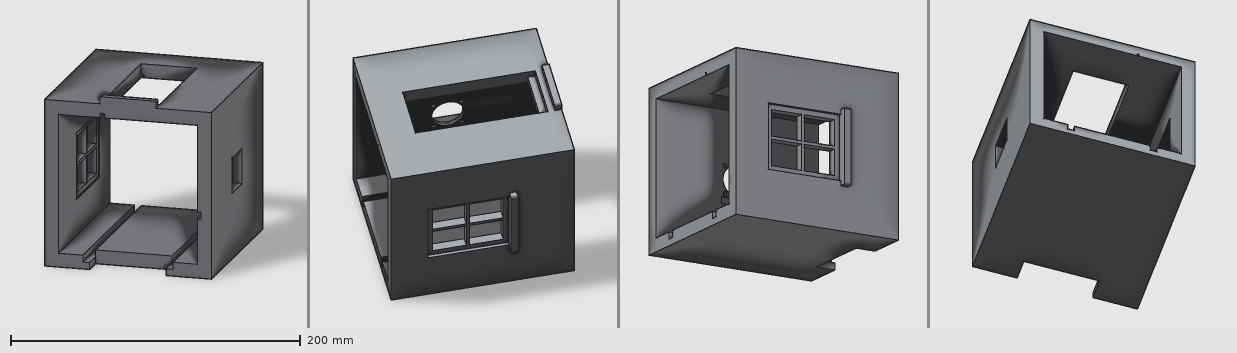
import cadquery as cq

BODY_SIDE = 120.0
BODY_DEPTH = 130.0
WALL = 10.0
HALF_SIDE = BODY_SIDE / 2
HALF_DEPTH = BODY_DEPTH / 2
INNER_HALF = HALF_SIDE - WALL

TRIM = 5.1
TRIM_ROUND = 1.0
ROOF_BAR_LENGTH = 40.3
SIDE_BAR_LENGTH = 55.0
SIDE_BAR_FRONT_OFFSET = 41.0

ROOF_OPENING_FRONT_OFFSET = 9.8
ROOF_OPENING_DEPTH = 94.0
ROOF_LEDGE_THICKNESS = 5.0
WIRE_X = -18.5
WIRE_RISE = 1.5
WIRE_GROOVE_WIDTH = 3.6
WIRE_HOLE_DIAMETER = 1.2

TONGUE_WIDTH = 55.0
TONGUE_SETBACK = 15.1
FLOOR_SLOT = 5.0

RECESS_DEPTH = 2.5
INNER_RECESS_DEPTH = 1.0
RECESS_WIDTH = 58.0
RECESS_HEIGHT = 47.8
PANES_WIDTH = 50.0
PANES_HEIGHT = 40.3
MUNTIN = 2.2

FAN_BORE = 23.0
FAN_POCKET = 25.2
FAN_LIP = 3.5
FAN_SCREW_SPACING = 20.0
FAN_SCREW_DIAMETER = 3.0
GROOVE_DEPTH = 2.5
GROOVE_HEIGHT = 5.6
GROOVE_TOP_DROP = 12.2


def box(x_range, y_range, z_range):
    """Axis-aligned box between pairs of limits."""
    sizes = [limits[1] - limits[0] for limits in (x_range, y_range, z_range)]
    return cq.Workplane("XY").box(*sizes, centered=False).translate((x_range[0], y_range[0], z_range[0]))


def centred(size, middle=0.0):
    """Limits of a span of the given size about its middle."""
    return (middle - size / 2, middle + size / 2)


def make_tube():
    return (
        cq.Workplane("XZ")
        .rect(BODY_SIDE, BODY_SIDE)
        .rect(2 * INNER_HALF, 2 * INNER_HALF)
        .extrude(HALF_DEPTH, both=True)
    )


def add_trim_bars(body):
    roof_bar = box(
        centred(ROOF_BAR_LENGTH),
        (-HALF_DEPTH, -HALF_DEPTH + TRIM),
        (HALF_SIDE, HALF_SIDE + TRIM),
    ).faces(">Z").edges("|Y").fillet(TRIM_ROUND)
    side_bar_front = -HALF_DEPTH + SIDE_BAR_FRONT_OFFSET
    side_bar = box(
        (-HALF_SIDE - TRIM, -HALF_SIDE),
        (side_bar_front, side_bar_front + TRIM),
        centred(SIDE_BAR_LENGTH),
    ).faces("<X").edges("|Y").fillet(TRIM_ROUND)
    return body.union(roof_bar).union(side_bar)


def cut_roof(body):
    front = -HALF_DEPTH + ROOF_OPENING_FRONT_OFFSET
    opening = box(
        centred(ROOF_BAR_LENGTH),
        (front, front + ROOF_OPENING_DEPTH),
        (INNER_HALF, HALF_SIDE),
    )
    ledge_back = -HALF_DEPTH + TONGUE_SETBACK
    ledge = box(
        centred(ROOF_BAR_LENGTH),
        (front, ledge_back),
        (INNER_HALF, INNER_HALF + ROOF_LEDGE_THICKNESS),
    )
    wire_z = INNER_HALF + WIRE_RISE
    groove_top = (
        cq.Workplane("XZ", origin=(WIRE_X, ledge_back, wire_z))
        .circle(WIRE_GROOVE_WIDTH / 2)
        .extrude(TONGUE_SETBACK)
    )
    groove_sides = box(
        centred(WIRE_GROOVE_WIDTH, WIRE_X),
        (-HALF_DEPTH, ledge_back),
        (INNER_HALF, wire_z),
    )
    wire_hole = (
        cq.Workplane("XZ", origin=(WIRE_X, HALF_DEPTH, wire_z))
        .circle(WIRE_HOLE_DIAMETER / 2)
        .extrude(HALF_DEPTH)
    )
    body = body.cut(opening).union(ledge)
    return body.cut(groove_top).cut(groove_sides).cut(wire_hole)


def cut_floor(body):
    notch = box(
        centred(TONGUE_WIDTH),
        (-HALF_DEPTH, -HALF_DEPTH + TONGUE_SETBACK),
        (-HALF_SIDE, -INNER_HALF),
    )
    body = body.cut(notch)
    for side in (-1, 1):
        slot = box(
            centred(FLOOR_SLOT, side * (TONGUE_WIDTH + FLOOR_SLOT) / 2),
            (-HALF_DEPTH, HALF_DEPTH),
            (-INNER_HALF - FLOOR_SLOT, -INNER_HALF),
        )
        body = body.cut(slot)
    return body


def cut_window(body):
    recess_front = -HALF_DEPTH + SIDE_BAR_FRONT_OFFSET + TRIM
    window_y = recess_front + RECESS_WIDTH / 2
    outer_recess = (-HALF_SIDE, -HALF_SIDE + RECESS_DEPTH)
    inner_recess = (-INNER_HALF - INNER_RECESS_DEPTH, -INNER_HALF)
    for x_range in (outer_recess, inner_recess):
        recess = box(x_range, centred(RECESS_WIDTH, window_y), centred(RECESS_HEIGHT))
        body = body.cut(recess)
    pane_width = (PANES_WIDTH - MUNTIN) / 2
    pane_height = (PANES_HEIGHT - MUNTIN) / 2
    for y_side in (-1, 1):
        for z_side in (-1, 1):
            pane = box(
                (-HALF_SIDE, -INNER_HALF),
                centred(pane_width, window_y + y_side * (pane_width + MUNTIN) / 2),
                centred(pane_height, z_side * (pane_height + MUNTIN) / 2),
            )
            body = body.cut(pane)
    return body


def cut_fan_seat(body):
    wall_plane = cq.Workplane("YZ", origin=(INNER_HALF, 0, 0))
    bore = wall_plane.circle(FAN_BORE / 2).extrude(WALL)
    screws = (
        wall_plane.rect(FAN_SCREW_SPACING, FAN_SCREW_SPACING, forConstruction=True)
        .vertices()
        .circle(FAN_SCREW_DIAMETER / 2)
        .extrude(WALL)
    )
    pocket = box(
        (INNER_HALF + FAN_LIP, HALF_SIDE),
        centred(FAN_POCKET),
        centred(FAN_POCKET),
    )
    groove = box(
        (INNER_HALF, INNER_HALF + GROOVE_DEPTH),
        (-HALF_DEPTH, FAN_POCKET / 2),
        (-GROOVE_TOP_DROP - GROOVE_HEIGHT, -GROOVE_TOP_DROP),
    )
    return body.cut(bore).cut(screws).cut(pocket).cut(groove)


result = make_tube()
result = add_trim_bars(result)
result = cut_roof(result)
result = cut_floor(result)
result = cut_window(result)
result = cut_fan_seat(result)